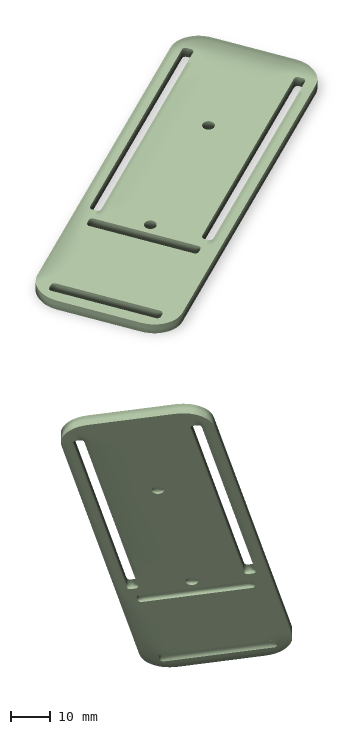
import cadquery as cq

width = 39.0
length = 106.0
thickness = 3.0
corner_reach_x = 8.5
corner_reach_y = 7.5
corner_mid_inset_x = 2.1
corner_mid_inset_y = 2.4

margin = 3.0
slot_width = 3.0
slot_corner_radius = 1.0
side_slot_length = 65.0
side_slot_y = 14.5
cross_slot_length = 30.0
upper_cross_slot_y = -22.5
lower_cross_slot_y = -length / 2 + margin + slot_width / 2
side_slot_x = width / 2 - margin - slot_width / 2

hole_diameter = 3.2
hole_spacing = 40.0
lower_hole_y = side_slot_y - side_slot_length / 2


def make_plate():
    """Flat plate with corners slightly longer along X than along Y."""
    half_x = width / 2
    half_y = length / 2
    end_x = half_x - corner_reach_x
    side_y = half_y - corner_reach_y
    mid_x = half_x - corner_mid_inset_x
    mid_y = half_y - corner_mid_inset_y

    quarter = (
        cq.Workplane("XY")
        .moveTo(0, 0)
        .lineTo(half_x, 0)
        .lineTo(half_x, side_y)
        .spline([(mid_x, mid_y), (end_x, half_y)], tangents=[(0, 1), (-1, 0)], includeCurrent=True)
        .lineTo(0, half_y)
        .close()
        .extrude(thickness)
    )
    half = quarter.union(quarter.mirror("YZ"))
    return half.union(half.mirror("XZ")).clean()


def make_slot(x, y, size_x, size_y):
    """Cutter for a through slot with rounded corners."""
    return (
        cq.Workplane("XY")
        .center(x, y)
        .rect(size_x, size_y)
        .extrude(thickness)
        .edges("|Z")
        .fillet(slot_corner_radius)
    )


result = make_plate()

for x in (-side_slot_x, side_slot_x):
    result = result.cut(make_slot(x, side_slot_y, slot_width, side_slot_length))

for y in (upper_cross_slot_y, lower_cross_slot_y):
    result = result.cut(make_slot(0, y, cross_slot_length, slot_width))

hole_places = [(0, lower_hole_y), (0, lower_hole_y + hole_spacing)]
holes = cq.Workplane("XY").pushPoints(hole_places).circle(hole_diameter / 2).extrude(thickness)
result = result.cut(holes)